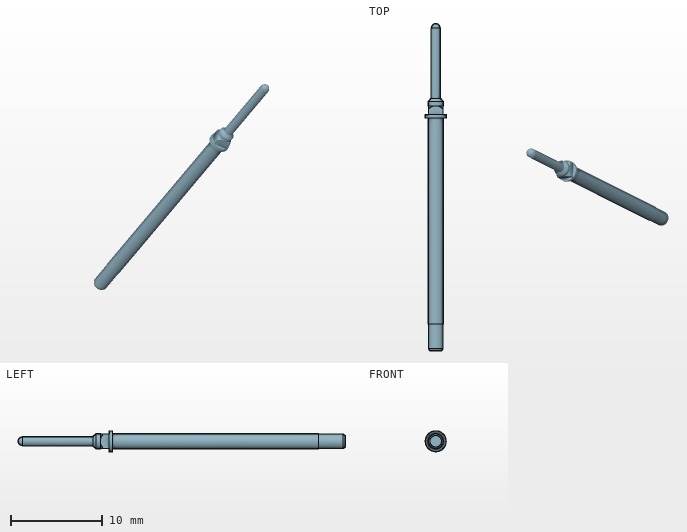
import cadquery as cq


barrel_diameter = 1.67
barrel_length = 25.45
tail_diameter = 1.6
tail_length = 2.95
tail_chamfer_length = 0.25
tail_chamfer_depth = 0.17

flange_diameter = 2.3
flange_thickness = 0.4

square_side = 1.62
square_corner_diameter = 2.25
square_lead_in_start = 1.35

collar_diameter = 1.67
collar_end = 1.8
collar_cone_length = 0.33
collar_front_diameter = 1.16

pin_diameter = 1.04
total_length = 35.8
tip_radius = 0.47


def y_cylinder(diameter, y_start, y_end):
    """Round bar along Y between two stations."""
    profile = cq.Workplane("XZ", origin=(0, y_start, 0)).circle(diameter / 2)
    return profile.extrude(y_start - y_end)


def y_cone(start_diameter, end_diameter, y_start, y_end):
    """Truncated cone along Y between two stations."""
    profile = (
        cq.Workplane("XY")
        .moveTo(0, y_start)
        .lineTo(start_diameter / 2, y_start)
        .lineTo(end_diameter / 2, y_end)
        .lineTo(0, y_end)
        .close()
    )
    return profile.revolve(360, (0, 0, 0), (0, 1, 0))


def make_barrel():
    """Long barrel with a slightly slimmer, chamfered tail."""
    rear = -barrel_length
    chamfer_front = rear + tail_chamfer_length
    tail_front = rear + tail_length
    tail_face_diameter = tail_diameter - 2 * tail_chamfer_depth
    chamfer = y_cone(tail_face_diameter, tail_diameter, rear, chamfer_front)
    tail = y_cylinder(tail_diameter, chamfer_front, tail_front)
    barrel = y_cylinder(barrel_diameter, tail_front, 0)
    return barrel.union(tail).union(chamfer)


def make_square_section():
    """Square bar with rounded corners, led in by a 45 degree cone at its front."""
    lead_in_length = (square_corner_diameter - collar_diameter) / 2
    lead_in_end = square_lead_in_start
    lead_in_rear = lead_in_end - lead_in_length
    envelope = y_cylinder(square_corner_diameter, flange_thickness, lead_in_rear).union(
        y_cone(square_corner_diameter, collar_diameter, lead_in_rear, lead_in_end)
    )
    square_bar = (
        cq.Workplane("XZ", origin=(0, flange_thickness, 0))
        .rect(square_side, square_side)
        .extrude(flange_thickness - lead_in_end)
    )
    return envelope.intersect(square_bar)


def make_collar():
    """Round collar that tapers down towards the contact pin."""
    collar = y_cylinder(collar_diameter, square_lead_in_start, collar_end)
    cone = y_cone(collar_diameter, collar_front_diameter, collar_end, collar_end + collar_cone_length)
    return collar.union(cone)


def make_pin():
    """Slim contact pin with a narrower hemispherical tip."""
    pin_root = collar_end + collar_cone_length
    tip_start = total_length - barrel_length - tip_radius
    shaft = y_cylinder(pin_diameter, pin_root, tip_start)
    tip = cq.Workplane("XY", origin=(0, tip_start, 0)).sphere(tip_radius)
    return shaft.union(tip)


flange = y_cylinder(flange_diameter, 0, flange_thickness)
result = make_barrel().union(flange).union(make_square_section()).union(make_collar()).union(make_pin())